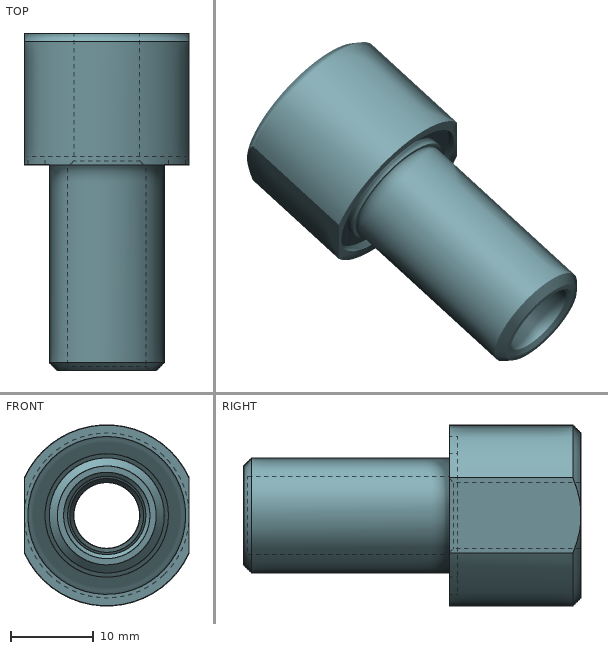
import cadquery as cq

total_length = 41.0
head_length = 16.0
shaft_length = total_length - head_length

head_diameter = 22.0
width_across_flats = 20.0
shaft_diameter = 14.0
edge_chamfer = 1.0

groove_outer_diameter = 19.2
groove_inner_diameter = 15.0
groove_depth = 1.0

shaft_bore_diameter = 9.5
head_bore_diameter = 8.0
bore_mouth_chamfer = 0.5
bore_step_chamfer = 0.5


def cylinder(diameter, start, length):
    """Cylinder on the Y axis, running from Y = start towards +Y."""
    return cq.Workplane("XZ", origin=(0, start, 0)).circle(diameter / 2).extrude(-length)


def make_head():
    head = cylinder(head_diameter, shaft_length, head_length).faces(">Y").chamfer(edge_chamfer)
    flats = cq.Workplane("XY").box(width_across_flats, 2 * total_length, 2 * head_diameter)
    groove = cylinder(groove_outer_diameter, shaft_length, groove_depth).cut(
        cylinder(groove_inner_diameter, shaft_length, groove_depth)
    )
    return head.intersect(flats).cut(groove)


def make_shaft():
    return cylinder(shaft_diameter, 0, total_length).faces("<Y").chamfer(edge_chamfer)


def countersink(diameter, start, depth):
    """45 degree cone that opens towards -Y and narrows to diameter at its far end."""
    mouth_radius = diameter / 2 + depth
    return (
        cq.Workplane("XY")
        .moveTo(0, start)
        .lineTo(mouth_radius, start)
        .lineTo(diameter / 2, start + depth)
        .lineTo(0, start + depth)
        .close()
        .revolve(360, (0, 0, 0), (0, 1, 0))
    )


def make_bore():
    shaft_bore = cylinder(shaft_bore_diameter, 0, shaft_length)
    head_bore = cylinder(head_bore_diameter, 0, total_length)
    mouth = countersink(shaft_bore_diameter, 0, bore_mouth_chamfer)
    step = countersink(head_bore_diameter, shaft_length, bore_step_chamfer)
    return shaft_bore.union(head_bore).union(mouth).union(step)


result = make_head().union(make_shaft()).cut(make_bore())